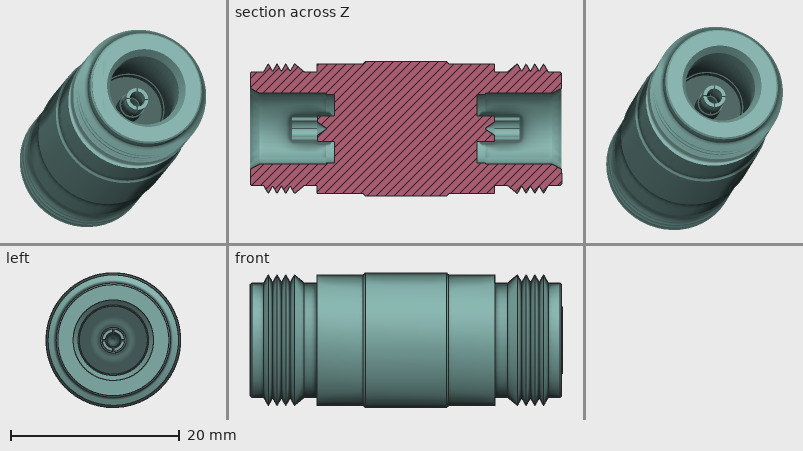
import cadquery as cq
import math

overall_length = 37.0
pad_height = 0.07
body_length = overall_length - pad_height
half_length = body_length / 2

band_radius = 8.0
sleeve_radius = 7.75
crest_radius = sleeve_radius
neck_radius = 6.77

rim_chamfer = 0.2
thread_start = 1.6
first_crest = 2.15
thread_pitch = 1.05
thread_count = 4
thread_flank_angle = 60.0
runout_length = 1.15
sleeve_start = 7.9
band_start = 13.4
band_chamfer = band_radius - sleeve_radius

mouth_radius = 4.77
mouth_depth = 1.1
bore_radius = 4.18
bore_depth = 9.0
seat_radius = 4.05
seat_depth = 10.0

contact_radius = 1.5
finger_radius = 1.35
finger_bore_radius = 0.92
finger_length = 2.95
contact_tip_depth = 5.0
pit_radius = 0.78
pit_depth = 1.1
slot_width = 0.15

pad_chord_offset = 5.3


def revolve_half(points):
    """Turn (distance from end face, radius) points about X on the -X half."""
    profile = [(depth - half_length, radius) for depth, radius in points]
    return cq.Workplane("XY").polyline(profile).close().revolve(360, (0, 0, 0), (1, 0, 0))


def make_shell():
    """Outer turned shape with four thread ridges, solid through the middle."""
    root_radius = crest_radius - thread_pitch / 2 * math.tan(math.radians(thread_flank_angle))
    points = [
        (0, 0),
        (0, neck_radius - rim_chamfer),
        (rim_chamfer, neck_radius),
        (thread_start, neck_radius),
    ]
    for ridge in range(thread_count):
        crest = first_crest + ridge * thread_pitch
        if ridge > 0:
            points.append((crest - thread_pitch / 2, root_radius))
        points.append((crest, crest_radius))
    last_crest = first_crest + (thread_count - 1) * thread_pitch
    points += [
        (last_crest + runout_length, neck_radius),
        (sleeve_start, neck_radius),
        (sleeve_start, sleeve_radius),
        (band_start, sleeve_radius),
        (band_start + band_chamfer, band_radius),
        (half_length, band_radius),
        (half_length, 0),
    ]
    return revolve_half(points)


def make_socket():
    """Stepped bore with a flared mouth."""
    return revolve_half([
        (0, 0),
        (0, mouth_radius),
        (mouth_depth, bore_radius),
        (bore_depth, bore_radius),
        (bore_depth, seat_radius),
        (seat_depth, seat_radius),
        (seat_depth, 0),
    ])


def make_contact():
    """Centre contact whose tip is a tube split into four fingers, with a conical pit at its root."""
    finger_root = contact_tip_depth + finger_length
    contact = revolve_half([
        (contact_tip_depth, finger_bore_radius),
        (contact_tip_depth, finger_radius),
        (finger_root, finger_radius),
        (finger_root, contact_radius),
        (seat_depth, contact_radius),
        (seat_depth, 0),
        (finger_root + pit_depth, 0),
        (finger_root, pit_radius),
        (finger_root, finger_bore_radius),
    ])
    slot_centre = contact_tip_depth + finger_length / 2 - half_length
    slot = cq.Workplane("XY", origin=(slot_centre, 0, 0)).box(finger_length, 2 * contact_radius, slot_width)
    for angle in (0, 90):
        contact = contact.cut(slot.rotate((0, 0, 0), (1, 0, 0), angle))
    return contact


def make_end_pad():
    """Circular segment standing on the -Y side of the +X end face."""
    pad_radius = neck_radius - rim_chamfer
    half_chord = math.sqrt(pad_radius**2 - pad_chord_offset**2)
    return (
        cq.Workplane("YZ", origin=(half_length, 0, 0))
        .moveTo(-pad_chord_offset, half_chord)
        .threePointArc((-pad_radius, 0), (-pad_chord_offset, -half_chord))
        .close()
        .extrude(pad_height)
    )


half_adapter = make_shell().cut(make_socket()).union(make_contact())
adapter = half_adapter.union(half_adapter.mirror("YZ"))
result = adapter.union(make_end_pad())